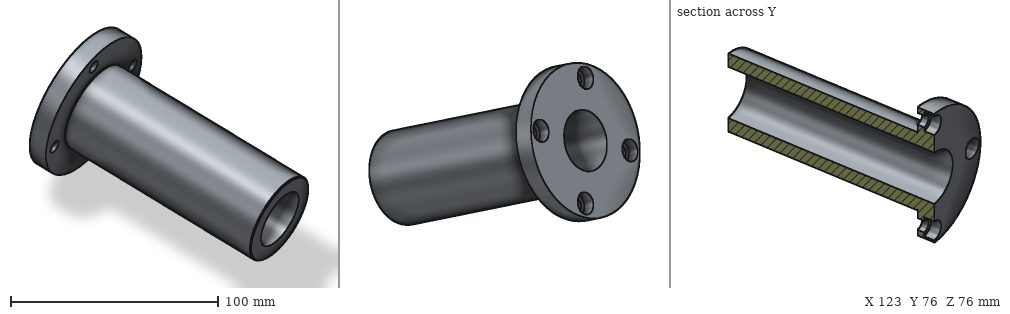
import cadquery as cq

length = 123.0
flange_diameter = 76.0
flange_thickness = 10.0
tube_diameter = 46.5
bore_diameter = 30.0

end_chamfer = 0.5
neck_width = 0.5
neck_depth = 0.2

screw_count = 4
screw_circle_diameter = 62.0
screw_hole_diameter = 6.6
counterbore_diameter = 11.0
counterbore_depth = 6.0


def cylinder(diameter, start, height):
    """Solid cylinder on the X axis, beginning at X = start."""
    return cq.Workplane("YZ", origin=(start, 0, 0)).circle(diameter / 2).extrude(height)


def make_body():
    """Flange and tube joined by a slightly relieved neck."""
    tube_start = flange_thickness + neck_width
    flange = cylinder(flange_diameter, 0, flange_thickness)
    neck = cylinder(tube_diameter - 2 * neck_depth, 0, tube_start)
    tube = cylinder(tube_diameter, tube_start, length - tube_start)
    tube = tube.faces(">X").chamfer(end_chamfer)
    return flange.union(neck).union(tube)


def screw_cutters(diameter, depth):
    """Cylinders on the screw circle, running inward from the flange's outer face."""
    return (
        cq.Workplane("YZ")
        .polarArray(screw_circle_diameter / 2, 0, 360, screw_count)
        .circle(diameter / 2)
        .extrude(depth)
    )


bore = cylinder(bore_diameter, 0, length)
through_holes = screw_cutters(screw_hole_diameter, flange_thickness)
counterbores = screw_cutters(counterbore_diameter, counterbore_depth)

result = make_body().cut(bore).cut(through_holes).cut(counterbores)